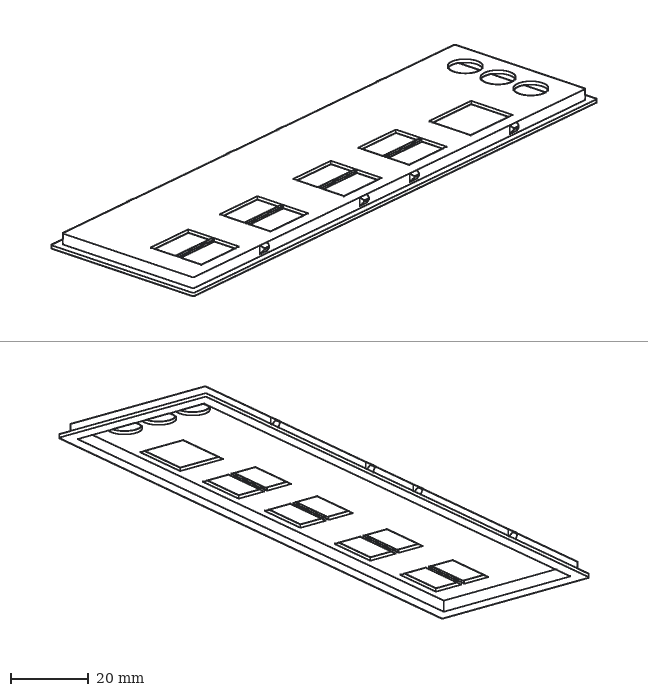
import cadquery as cq


flange_length = 162.0
flange_width = 48.0
flange_thickness = 1.0
flange_corner = 0.5

side_step = 2.0
end_step = 2.3
body_width = flange_width - 2 * side_step
body_length = flange_length - 2 * end_step
body_top = 4.0
body_corner = 0.5
face_thickness = 1.0
wall_thickness = 1.5

jack_diameter = 9.0
jack_pitch = 11.0
jack_count = 3
jack_y = 69.8

opening_right = 18.3
square_width = 14.0
square_length = 16.8
square_y = 45.4
usb_width = 17.0
usb_length = 15.0
usb_centres = (19.8, -6.3, -35.8, -63.5)

divider_width = 1.0
divider_thickness = 0.6
divider_offset = 8.7

clip_reach = 1.1
clip_root_width = 2.9
clip_root_height = 2.5
clip_tip_width = 2.0
clip_tip_height = 0.3
clip_tip_drop = 0.8
clip_centres = (-50.5, -10.5, 9.5, 49.5)


def rounded_block(width, length, height, corner):
    block = cq.Workplane("XY").rect(width, length).extrude(height)
    return block.edges("|Z").fillet(corner)


def opening(width, length, y):
    x = opening_right - width / 2
    return cq.Workplane("XY").center(x, y).rect(width, length).extrude(body_top)


def divider(y):
    x = opening_right - divider_offset
    bar = cq.Workplane("XY", origin=(x, y, body_top - face_thickness))
    return bar.rect(divider_width, usb_length).extrude(divider_thickness)


def clip(side, y):
    root_z = body_top - clip_root_height / 2
    tip_z = body_top - clip_tip_drop
    root_plane = cq.Plane(origin=(side * body_width / 2, y, root_z), xDir=(0, 1, 0), normal=(side, 0, 0))
    rise = side * (tip_z - root_z)
    return (
        cq.Workplane(root_plane)
        .rect(clip_root_width, clip_root_height)
        .workplane(offset=clip_reach)
        .center(0, rise)
        .rect(clip_tip_width, clip_tip_height)
        .loft(ruled=True)
    )


result = rounded_block(flange_width, flange_length, flange_thickness, flange_corner)
result = result.union(rounded_block(body_width, body_length, body_top, body_corner))
cavity_width = body_width - 2 * wall_thickness
cavity_length = body_length - 2 * wall_thickness
cavity = cq.Workplane("XY").rect(cavity_width, cavity_length)
result = result.cut(cavity.extrude(body_top - face_thickness))

jacks = cq.Workplane("XY").center(0, jack_y).rarray(jack_pitch, 1.6, jack_count, 1).circle(jack_diameter / 2)
result = result.cut(jacks.extrude(body_top))
result = result.cut(opening(square_width, square_length, square_y))
for y in usb_centres:
    result = result.cut(opening(usb_width, usb_length, y))
    result = result.union(divider(y))

for side in (-1, 1):
    for y in clip_centres:
        result = result.union(clip(side, y))